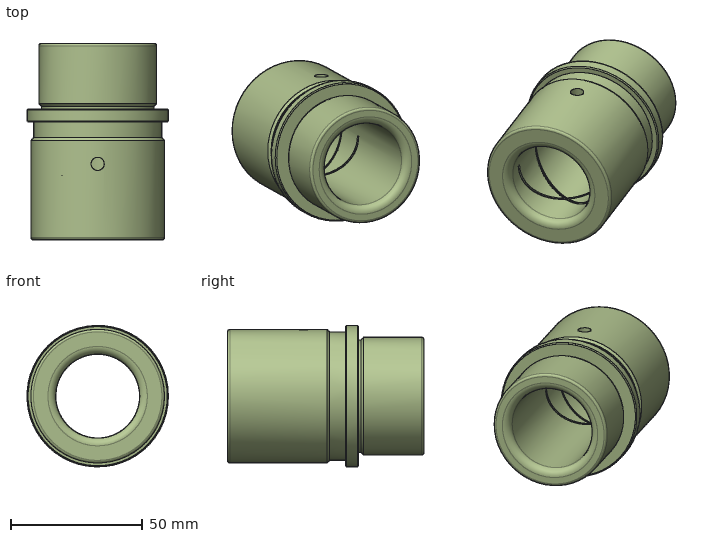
import cadquery as cq

length = 75.0
bore_radius = 16.0
mouth_fillet = 3.0

body_radius = 25.5
neck_radius = 24.5
flange_radius = 27.0
undercut_radius = 21.5
spigot_radius = 22.5

body_end = 39.0
flange_start = 45.0
flange_end = 50.0
undercut_end = 51.0

end_fillet = 1.0
flange_chamfer = 0.45
body_chamfer = body_radius - neck_radius
spigot_chamfer = spigot_radius - undercut_radius

oil_hole_diameter = 5.0
oil_hole_y = 29.0

groove_width = 1.0
groove_depth = 0.5
groove_crossing_y = 18.0
groove_angle = 28.0


def ring(start, end, outer, inner=0.0):
    """Cylinder or tube along +Y between two positions."""
    sketch = cq.Workplane("XZ", origin=(0, start, 0)).circle(outer)
    if inner:
        sketch = sketch.circle(inner)
    return sketch.extrude(start - end)


def make_outside():
    """Stepped outside, with the edge breaks of each step."""
    body = ring(0, body_end, body_radius)
    body = body.faces("<Y").edges().fillet(end_fillet)
    body = body.faces(">Y").edges().chamfer(body_chamfer)

    neck = ring(body_end, flange_start, neck_radius)

    flange = ring(flange_start, flange_end, flange_radius)
    flange = flange.faces("<Y or >Y").edges().chamfer(flange_chamfer)

    undercut = ring(flange_end, undercut_end, undercut_radius)

    spigot = ring(undercut_end, length, spigot_radius)
    spigot = spigot.faces("<Y").edges().chamfer(spigot_chamfer)
    spigot = spigot.faces(">Y").edges().fillet(end_fillet)

    return body.union(neck).union(flange).union(undercut).union(spigot)


def cut_bore(part):
    """Through bore with a rounded mouth at each end."""
    part = part.cut(ring(0, length, bore_radius))
    bore_mouths = part.faces("<Y or >Y").edges(cq.selectors.RadiusNthSelector(0))
    return bore_mouths.fillet(mouth_fillet)


def oil_hole():
    """Drill from the bore axis out through the top of the wall."""
    return (
        cq.Workplane("XY", origin=(0, oil_hole_y, 0))
        .circle(oil_hole_diameter / 2)
        .extrude(flange_radius)
    )


def oil_groove(angle):
    """Slanted half-ring groove: a tilted slab limited to a thin tube below the axis."""
    slab = (
        cq.Workplane("XY")
        .box(length, groove_width, flange_radius, centered=(True, True, False))
        .rotate((0, 0, 0), (0, 0, 1), angle)
        .translate((0, groove_crossing_y, -flange_radius))
    )
    return ring(0, length, bore_radius + groove_depth, bore_radius).intersect(slab)


result = cut_bore(make_outside()).cut(oil_hole())
for slant in (-groove_angle, groove_angle):
    result = result.cut(oil_groove(slant))